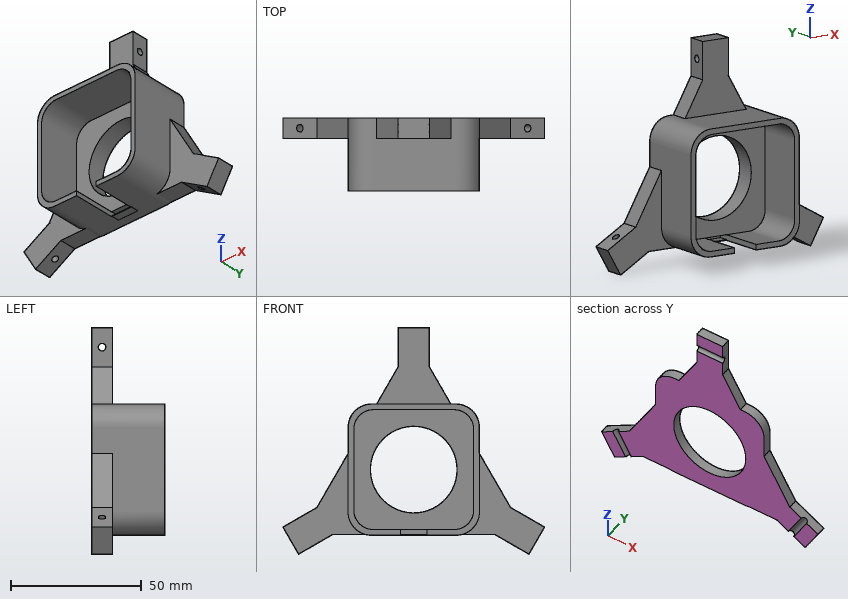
import cadquery as cq
import math

overall_width = 100.0
depth = 28.0

plate_thickness = 8.0
arm_width = 12.0
arm_straight_length = 15.0
arm_angles = (0, 120, 240)

cup_size = 50.2
wall = 2.2
corner_radius = 9.0
inner_corner_radius = 7.5
floor_thickness = 8.0
bore_diameter = 33.0
slot_width = 10.0

pocket_depth = 4.0
lip_thickness = 0.3

pin_diameter = 2.8
pin_to_tip = 7.5
pin_from_back = 4.0

arm_slope = math.radians(30)
half_arm = arm_width / 2
tip_radius = (overall_width / 2 - half_arm * math.sin(arm_slope)) / math.cos(arm_slope)
neck_radius = tip_radius - arm_straight_length


def block(width, height, back, front):
    """Centred rectangle in XZ, from back to front measured along -Y."""
    return (
        cq.Workplane("XZ", origin=(0, -back, 0))
        .rect(width, height)
        .extrude(front - back)
    )


def turned(body, angle):
    """Turn a body about the bore axis."""
    return body.rotate((0, 0, 0), (0, 1, 0), angle)


def arm():
    """Upper arm; its sloping flanks widen it down to the level of the bore axis."""
    flare_half = half_arm + neck_radius * math.tan(arm_slope)
    return (
        cq.Workplane("XZ")
        .polyline([
            (-flare_half, 0),
            (-half_arm, neck_radius),
            (-half_arm, tip_radius),
            (half_arm, tip_radius),
            (half_arm, neck_radius),
            (flare_half, 0),
        ])
        .close()
        .extrude(plate_thickness)
    )


def arm_pin_hole():
    """Hole across the width of the upper arm."""
    return (
        cq.Workplane("YZ", origin=(-arm_width, -pin_from_back, tip_radius - pin_to_tip))
        .circle(pin_diameter / 2)
        .extrude(2 * arm_width)
    )


outer = block(cup_size, cup_size, 0, depth).edges("|Y").fillet(corner_radius)
inner_size = cup_size - 2 * wall
cavity = block(inner_size, inner_size, floor_thickness, depth).edges("|Y").fillet(inner_corner_radius)
bore = cq.Workplane("XZ").circle(bore_diameter / 2).extrude(depth)
slot = block(slot_width, 2 * wall, floor_thickness, depth).translate((0, 0, -cup_size / 2))
pocket_height = wall - lip_thickness
pocket_centre = -inner_size / 2 - pocket_height / 2
pocket = block(slot_width, pocket_height, floor_thickness - pocket_depth, floor_thickness)
pocket = pocket.translate((0, 0, pocket_centre))

result = outer
for angle in arm_angles:
    result = result.union(turned(arm(), angle))
result = result.cut(cavity).cut(bore).cut(slot).cut(pocket)
for angle in arm_angles:
    result = result.cut(turned(arm_pin_hole(), angle))